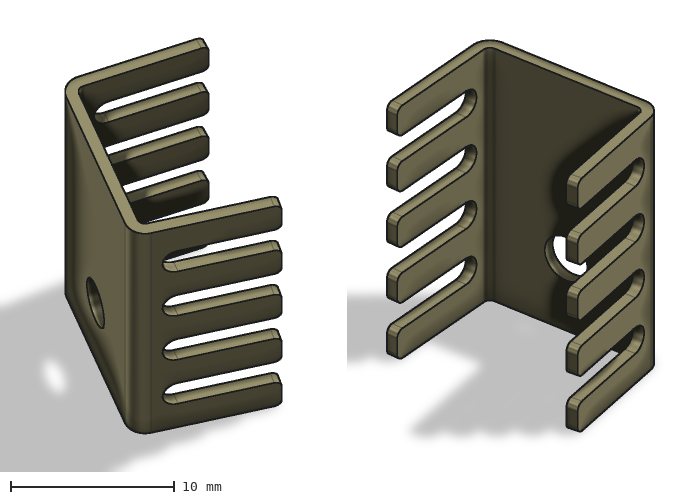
import cadquery as cq
import math

WIDTH = 14.4
DEPTH = 9.6
HEIGHT = 18.7

THICKNESS = 0.82
OUTER_BEND_RADIUS = 1.3
INNER_BEND_RADIUS = OUTER_BEND_RADIUS - THICKNESS
LEAN = math.radians(3.5)

FINGER_COUNT = 5
SLOT_COUNT = FINGER_COUNT - 1
SLOT_WIDTH = 1.93
SLOT_ROOT_Y = 1.98
FINGER_HEIGHT = (HEIGHT - SLOT_COUNT * SLOT_WIDTH) / FINGER_COUNT
FINGER_PITCH = FINGER_HEIGHT + SLOT_WIDTH
TIP_RADIUS = 0.5

HOLE_DIAMETER = 3.2
HOLE_Z = 5.31

tip_y = DEPTH - THICKNESS * math.sin(LEAN)
bend_end_y = OUTER_BEND_RADIUS * (1 - math.sin(LEAN))
bend_end_x = WIDTH / 2 - (tip_y - bend_end_y) * math.tan(LEAN)
bend_center_x = bend_end_x - OUTER_BEND_RADIUS * math.cos(LEAN)


def bend_point(radius, angle):
    """Point on the right-hand bend; angle is measured from +X."""
    return (
        bend_center_x + radius * math.cos(angle),
        OUTER_BEND_RADIUS + radius * math.sin(angle),
    )


def mirrored(point):
    return (-point[0], point[1])


def folded_sheet():
    """U-shaped channel with leaning walls, before the slots are cut."""
    down = -math.pi / 2
    middle = (down - LEAN) / 2
    outer_base = bend_point(OUTER_BEND_RADIUS, down)
    outer_middle = bend_point(OUTER_BEND_RADIUS, middle)
    outer_wall = bend_point(OUTER_BEND_RADIUS, -LEAN)
    inner_base = bend_point(INNER_BEND_RADIUS, down)
    inner_middle = bend_point(INNER_BEND_RADIUS, middle)
    inner_wall = bend_point(INNER_BEND_RADIUS, -LEAN)
    outer_tip = (WIDTH / 2, tip_y)
    inner_tip = (WIDTH / 2 - THICKNESS * math.cos(LEAN), DEPTH)

    return (
        cq.Workplane("XY")
        .moveTo(*mirrored(outer_base))
        .lineTo(*outer_base)
        .threePointArc(outer_middle, outer_wall)
        .lineTo(*outer_tip)
        .lineTo(*inner_tip)
        .lineTo(*inner_wall)
        .threePointArc(inner_middle, inner_base)
        .lineTo(*mirrored(inner_base))
        .threePointArc(mirrored(inner_middle), mirrored(inner_wall))
        .lineTo(*mirrored(inner_tip))
        .lineTo(*mirrored(outer_tip))
        .lineTo(*mirrored(outer_wall))
        .threePointArc(mirrored(outer_middle), mirrored(outer_base))
        .close()
        .extrude(HEIGHT)
    )


def finger_slot(bottom_z):
    """Slot through both side walls, open at the tips and round at the root."""
    root_center_y = SLOT_ROOT_Y + SLOT_WIDTH / 2
    top_z = bottom_z + SLOT_WIDTH
    return (
        cq.Workplane("YZ")
        .moveTo(DEPTH, bottom_z)
        .lineTo(root_center_y, bottom_z)
        .threePointArc((SLOT_ROOT_Y, bottom_z + SLOT_WIDTH / 2), (root_center_y, top_z))
        .lineTo(DEPTH, top_z)
        .close()
        .extrude(WIDTH, both=True)
    )


def mounting_hole():
    return (
        cq.Workplane("XZ")
        .center(0, HOLE_Z)
        .circle(HOLE_DIAMETER / 2)
        .extrude(-2 * THICKNESS)
    )


result = folded_sheet()
for index in range(SLOT_COUNT):
    result = result.cut(finger_slot(FINGER_HEIGHT + index * FINGER_PITCH))
result = result.cut(mounting_hole())

tip_zone = cq.selectors.BoxSelector(
    (-WIDTH, DEPTH - THICKNESS, -HEIGHT),
    (WIDTH, DEPTH + THICKNESS, 2 * HEIGHT),
)
across_sheet = cq.Vector(math.cos(LEAN), -math.sin(LEAN), 0)
across_sheet_left = cq.Vector(math.cos(LEAN), math.sin(LEAN), 0)
tip_corners = (
    cq.selectors.ParallelDirSelector(across_sheet)
    + cq.selectors.ParallelDirSelector(across_sheet_left)
)
result = result.edges(tip_zone).edges(tip_corners).fillet(TIP_RADIUS)